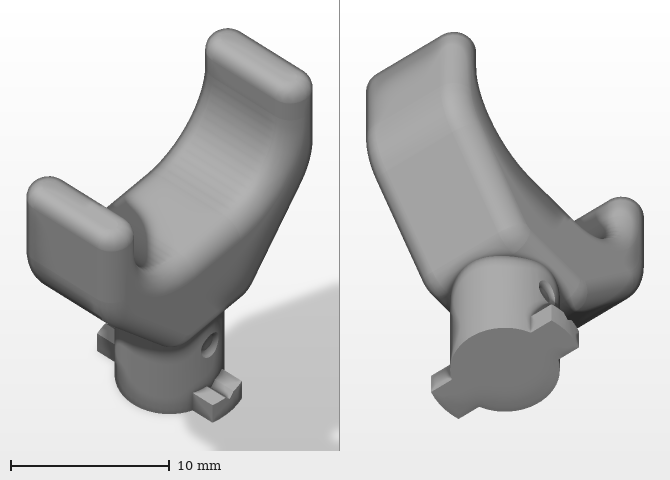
import cadquery as cq
import math

total_height = 22.0
yoke_width = 20.0
yoke_thickness = 8.0
stem_radius = 6.9 / 2

arm_thickness = 2.82
cradle_radius = 5.0
cradle_floor_z = 14.5
yoke_bottom_z = 7.0
shoulder_radius = 5.0
bottom_corner_radius = 2.0
side_rounding = 1.39
tip_rounding = 1.0

lug_reach = 10.0 / 2
lug_width = 2.82
lug_height = 1.58
notch_width = 0.8
notch_depth = notch_width / 2

dimple_z = 5.0
dimple_mouth_diameter = 1.94
dimple_floor_diameter = 1.1
dimple_depth = 0.33


def band_at(height):
    """Selector for everything centred in a thin level band of the yoke."""
    band = 0.22
    return cq.selectors.BoxSelector(
        (-yoke_width, -yoke_width, height - band),
        (yoke_width, yoke_width, height + band),
    )


def make_yoke():
    """Rounded U-shaped fork that tapers down to the width of the stem."""
    outer = yoke_width / 2
    inner = outer - arm_thickness
    blank = (
        cq.Workplane("YZ")
        .polyline([
            (-stem_radius, yoke_bottom_z),
            (stem_radius, yoke_bottom_z),
            (outer, cradle_floor_z),
            (outer, total_height),
            (-outer, total_height),
            (-outer, cradle_floor_z),
        ])
        .close()
        .extrude(yoke_thickness / 2, both=True)
    )
    blank = blank.edges("|X").edges(band_at(cradle_floor_z)).fillet(shoulder_radius)
    blank = blank.edges("|X").edges(band_at(yoke_bottom_z)).fillet(bottom_corner_radius)

    cradle = (
        cq.Workplane("YZ")
        .moveTo(0, cradle_floor_z + total_height / 2)
        .rect(2 * inner, total_height)
        .extrude(yoke_thickness, both=True)
        .edges("|X and <Z")
        .fillet(cradle_radius)
    )
    yoke = blank.cut(cradle)
    yoke = yoke.faces("<X or >X").edges("not(>Z)").fillet(side_rounding)
    return yoke.faces(">Z").edges().fillet(tip_rounding)


def make_stem():
    """Round stem whose top is buried in the yoke."""
    stem_top_z = (yoke_bottom_z + cradle_floor_z) / 2
    return cq.Workplane("XY").circle(stem_radius).extrude(stem_top_z)


def make_lugs():
    """Bar across the foot with round ends and a V notch along its top."""
    bar = cq.Workplane("XY").rect(2 * lug_reach, lug_width).extrude(lug_height)
    round_ends = cq.Workplane("XY").circle(lug_reach).extrude(lug_height)
    notch = (
        cq.Workplane("YZ")
        .polyline([
            (-notch_width / 2, lug_height),
            (0, lug_height - notch_depth),
            (notch_width / 2, lug_height),
        ])
        .close()
        .extrude(lug_reach, both=True)
    )
    return bar.intersect(round_ends).cut(notch)


def make_dimple(side):
    """Tapered dimple cutter on the -X (side = -1) or +X (side = 1) face."""
    half_taper = (dimple_mouth_diameter - dimple_floor_diameter) / 2
    taper_angle = math.degrees(math.atan2(half_taper, dimple_depth))
    return (
        cq.Workplane("YZ", origin=(side * stem_radius, 0, dimple_z))
        .circle(dimple_mouth_diameter / 2)
        .extrude(-side * dimple_depth, taper=taper_angle)
    )


result = make_yoke().union(make_lugs()).union(make_stem())
for side in (-1, 1):
    result = result.cut(make_dimple(side))